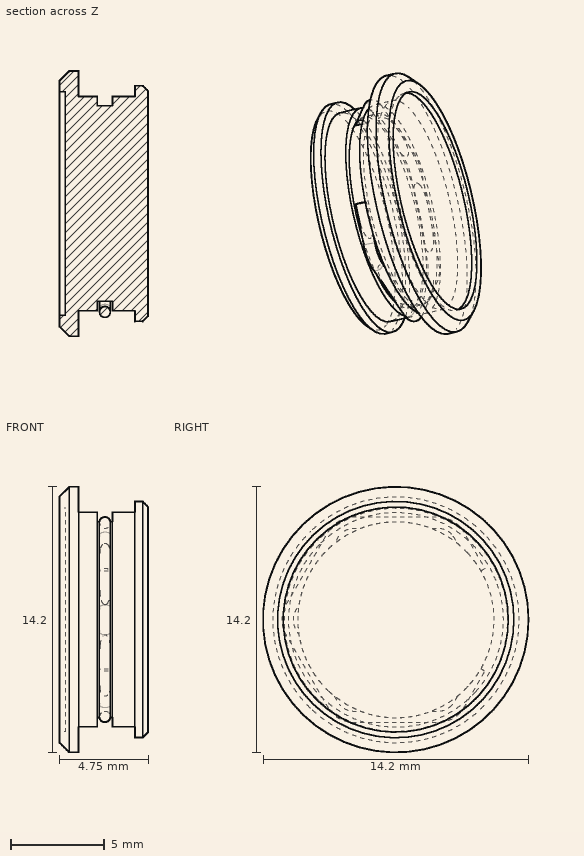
import cadquery as cq
import math

front_chamfer = 0.525
front_flange_end = 1.03
groove_start = 2.03
groove_end = 2.83
rear_flange_start = 4.03
total_length = 4.75
rear_chamfer = 0.3

front_flange_radius = 7.115
body_radius = 5.75
groove_radius = 5.25
rear_flange_radius = 6.325

recess_radius = 5.98
recess_depth = 0.3

wire_radius = 0.3
hexagon_radius = 6.0
hexagon_sides = 6
bend_radius = 1.3
ring_x = (groove_start + groove_end) / 2


def make_body():
    """Turned plug: front flange, grooved barrel and rear flange."""
    half_profile = [
        (0, 0),
        (0, front_flange_radius - front_chamfer),
        (front_chamfer, front_flange_radius),
        (front_flange_end, front_flange_radius),
        (front_flange_end, body_radius),
        (groove_start, body_radius),
        (groove_start, groove_radius),
        (groove_end, groove_radius),
        (groove_end, body_radius),
        (rear_flange_start, body_radius),
        (rear_flange_start, rear_flange_radius),
        (total_length - rear_chamfer, rear_flange_radius),
        (total_length, rear_flange_radius - rear_chamfer),
        (total_length, 0),
    ]
    return cq.Workplane("XY").polyline(half_profile).close().revolve(360, (0, 0), (1, 0))


def make_recess():
    """Disc removed from the front face."""
    return cq.Workplane("YZ").circle(recess_radius).extrude(recess_depth)


def ring_point(radius, degrees):
    """Point (y, z) in the ring plane, with the angle measured from +Y towards +Z."""
    angle = math.radians(degrees)
    return radius * math.cos(angle), radius * math.sin(angle)


def make_snap_ring():
    """Wire swept from the middle of one hexagon side, round every corner but the +Y one,
    to the middle of the last side."""
    side_angle = 360 / hexagon_sides
    half_side_angle = side_angle / 2
    half_side = math.radians(half_side_angle)
    side_distance = hexagon_radius * math.cos(half_side)
    straight_half = hexagon_radius * math.sin(half_side) - bend_radius * math.tan(half_side)
    tangent_radius = math.hypot(side_distance, straight_half)
    tangent_angle = math.degrees(math.atan2(straight_half, side_distance))
    bend_apex_radius = hexagon_radius - bend_radius / math.cos(half_side) + bend_radius

    path = cq.Workplane("YZ", origin=(ring_x, 0, 0)).moveTo(*ring_point(side_distance, half_side_angle))
    for corner in range(1, hexagon_sides):
        corner_angle = corner * side_angle
        bend_start = ring_point(tangent_radius, corner_angle - half_side_angle + tangent_angle)
        bend_apex = ring_point(bend_apex_radius, corner_angle)
        bend_end = ring_point(tangent_radius, corner_angle + half_side_angle - tangent_angle)
        path = path.lineTo(*bend_start).threePointArc(bend_apex, bend_end)
    path = path.lineTo(*ring_point(side_distance, -half_side_angle))

    start_y, start_z = ring_point(side_distance, half_side_angle)
    wire_direction = ring_point(1, half_side_angle + 90)
    wire_section = cq.Plane(
        origin=(ring_x, start_y, start_z),
        xDir=(1, 0, 0),
        normal=(0, *wire_direction),
    )
    return cq.Workplane(wire_section).circle(wire_radius).sweep(path)


result = make_body().cut(make_recess()).union(make_snap_ring())